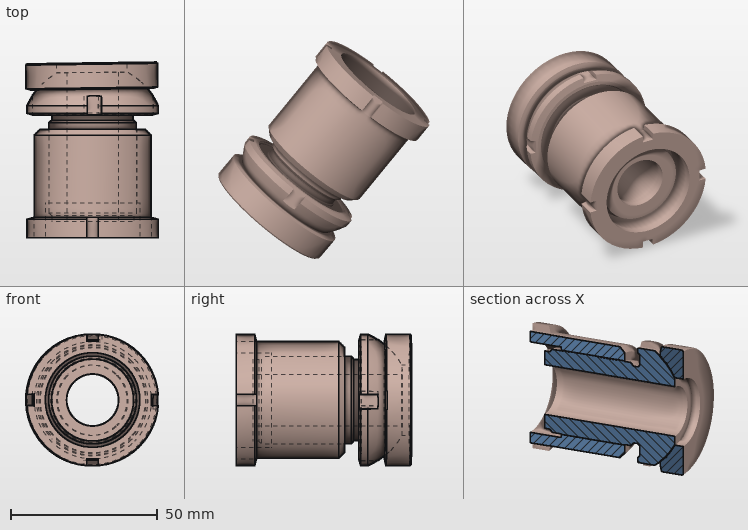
import cadquery as cq
import math


flange_radius = 22.5
thread_radius = 15.0
cone_angle = 15.0
slot_count = 4

sleeve_length = 37.0
sleeve_radius = 20.0
sleeve_chamfer = 2.05
flange_height = 7.0
counterbore_radius = 16.15
counterbore_depth = 12.0
flange_slot_width = 4.0
flange_slot_floor = 20.05

bore_radius = 8.8
screw_start = 5.7
pilot_radius = 14.0
pilot_length = 2.0
thread_end = 39.25
runout_end = 40.15
runout_radius = 14.0
neck_start = 40.55
neck_radius = 13.85
head_underside = 41.8
head_recess_radius = 18.7
head_recess_depth = 0.85
recess_fillet = 0.55
head_cone_radius = 20.0
dome_start = 45.0
head_slot_width = 4.9
head_slot_floor = 20.6
screw_turn = 1.6

dome_radius = 24.6
dome_center = dome_start - math.sqrt(dome_radius**2 - flange_radius**2)
seat_front = 50.7
seat_thickness = 9.0
seat_back = seat_front + seat_thickness
seat_bore_radius = 12.0
seat_cone_radius = 20.7
seat_chamfer = 0.5
seat_tilt = 0.8


def cone_height(inner_radius):
    """Axial height of a shallow edge cone from inner_radius out to the flange radius."""
    return (flange_radius - inner_radius) * math.tan(math.radians(cone_angle))


def dome_y(radius):
    """Y of the spherical dome at a given distance from the axis."""
    return dome_center + math.sqrt(dome_radius**2 - radius**2)


def dome_mid_point(radius_a, radius_b):
    """(Y, radius) of a point on the dome halfway between two radii."""
    radius = (radius_a + radius_b) / 2
    return dome_y(radius), radius


def revolve_about_y(profile):
    """Turn a closed (Y, radius) profile a full revolution about the Y axis."""
    return profile.close().revolve(360, (0, 0, 0), (1, 0, 0))


def cut_rim_slots(body, width, floor_radius, y_start, y_end):
    """Cut flat-bottomed slots into the rim, evenly spaced round the Y axis."""
    depth = flange_radius
    slot = cq.Workplane("XY").box(width, y_end - y_start, depth, centered=(True, False, False))
    slot = slot.translate((0, y_start, floor_radius))
    for index in range(slot_count):
        body = body.cut(slot.rotate((0, 0, 0), (0, 1, 0), index * 360 / slot_count))
    return body


def make_sleeve():
    profile = (
        cq.Workplane("YZ")
        .moveTo(0, counterbore_radius)
        .lineTo(0, flange_radius)
        .lineTo(flange_height - cone_height(sleeve_radius), flange_radius)
        .lineTo(flange_height, sleeve_radius)
        .lineTo(sleeve_length - sleeve_chamfer, sleeve_radius)
        .lineTo(sleeve_length, sleeve_radius - sleeve_chamfer)
        .lineTo(sleeve_length, thread_radius)
        .lineTo(counterbore_depth, thread_radius)
        .lineTo(counterbore_depth, counterbore_radius)
    )
    sleeve = revolve_about_y(profile)
    return cut_rim_slots(sleeve, flange_slot_width, flange_slot_floor, 0, flange_height)


def make_screw():
    pilot_end = screw_start + pilot_length
    recess_floor = head_underside + head_recess_depth
    head_top = dome_y(seat_bore_radius)
    profile = (
        cq.Workplane("YZ")
        .moveTo(screw_start, bore_radius)
        .lineTo(screw_start, pilot_radius)
        .lineTo(pilot_end, pilot_radius)
        .lineTo(pilot_end + runout_end - thread_end, thread_radius)
        .lineTo(thread_end, thread_radius)
        .lineTo(runout_end, runout_radius)
        .lineTo(neck_start, neck_radius)
        .lineTo(recess_floor - recess_fillet, neck_radius)
        .radiusArc((recess_floor, neck_radius + recess_fillet), recess_fillet)
        .lineTo(recess_floor, head_recess_radius - recess_fillet)
        .radiusArc((recess_floor - recess_fillet, head_recess_radius), recess_fillet)
        .lineTo(head_underside, head_recess_radius)
        .lineTo(head_underside, head_cone_radius)
        .lineTo(head_underside + cone_height(head_cone_radius), flange_radius)
        .lineTo(dome_start, flange_radius)
        .threePointArc(dome_mid_point(flange_radius, seat_bore_radius), (head_top, seat_bore_radius))
        .lineTo(head_top, bore_radius)
    )
    screw = revolve_about_y(profile)
    screw = cut_rim_slots(screw, head_slot_width, head_slot_floor, head_underside, seat_front)
    return screw.rotate((0, 0, 0), (0, 1, 0), screw_turn)


def make_seat_ring():
    seat_edge_radius = math.sqrt(dome_radius**2 - (seat_front - dome_center) ** 2)
    profile = (
        cq.Workplane("YZ")
        .moveTo(seat_front, seat_edge_radius)
        .lineTo(seat_front, seat_cone_radius)
        .lineTo(seat_front + cone_height(seat_cone_radius), flange_radius)
        .lineTo(seat_back - seat_chamfer, flange_radius)
        .lineTo(seat_back, flange_radius - seat_chamfer)
        .lineTo(seat_back, seat_bore_radius)
        .lineTo(dome_y(seat_bore_radius), seat_bore_radius)
        .threePointArc(
            dome_mid_point(seat_bore_radius, seat_edge_radius), (seat_front, seat_edge_radius)
        )
    )
    ring = revolve_about_y(profile)
    return ring.rotate((0, dome_center, 0), (0, dome_center, 1), seat_tilt)


sleeve = make_sleeve()
screw = make_screw()
seat_ring = make_seat_ring()

result = cq.Compound.makeCompound([sleeve.val(), screw.val(), seat_ring.val()])